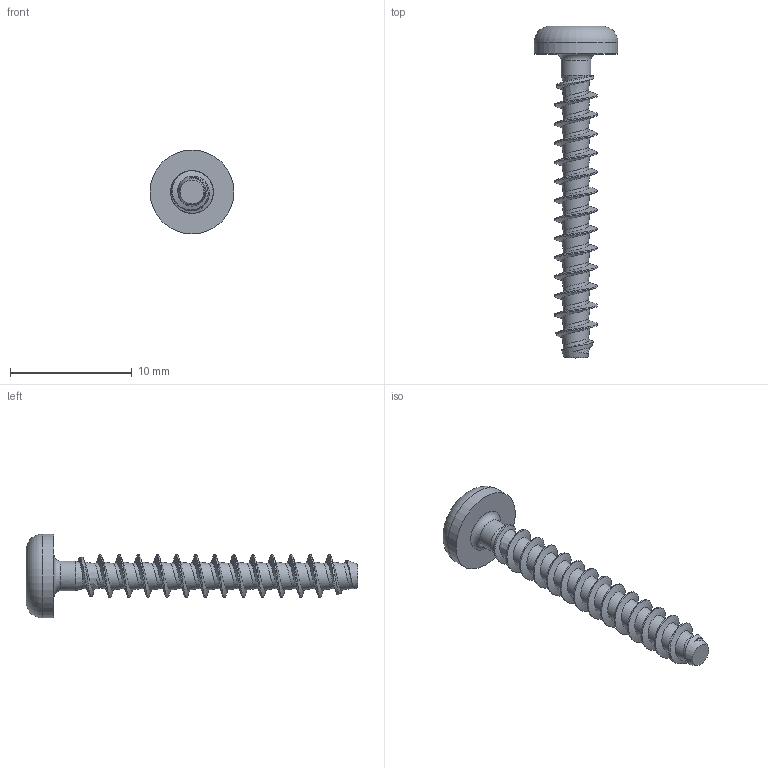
import cadquery as cq
import math


head_radius = 3.45
head_height = 2.3
head_edge_radius = 1.34

screw_length = 25.0
shank_radius = 1.22
shank_length = 1.77
underhead_fillet = 0.53

core_radius = 1.04
core_neck_length = 0.6
tip_radius = 0.97
tip_cone_slope = 0.35

pitch = 1.57
thread_radius = 1.75
crest_width = 0.1
flank_angle = math.radians(15)
crest_at_positive_x = -3.41
thread_foot_radius = 1.16
root_end_radius = 1.01
thread_runout_radius = 1.41
thread_runout_length = 1.5
thread_inner_radius = 0.9
envelope_clearance = 0.1
turn_gap = 0.05


def make_head_and_shank():
    """Revolve the head, the filleted shank and the neck down to the core."""
    arc_offset = head_edge_radius * math.sin(math.pi / 4)
    arc_centre = (head_radius - head_edge_radius, head_height - head_edge_radius)
    fillet_offset = underhead_fillet * math.sin(math.pi / 4)
    fillet_centre = (shank_radius + underhead_fillet, -underhead_fillet)
    return (
        cq.Workplane("XZ")
        .moveTo(0, head_height)
        .lineTo(arc_centre[0], head_height)
        .threePointArc(
            (arc_centre[0] + arc_offset, arc_centre[1] + arc_offset),
            (head_radius, arc_centre[1]),
        )
        .lineTo(head_radius, 0)
        .lineTo(fillet_centre[0], 0)
        .threePointArc(
            (fillet_centre[0] - fillet_offset, fillet_centre[1] + fillet_offset),
            (shank_radius, -underhead_fillet),
        )
        .lineTo(shank_radius, -shank_length)
        .lineTo(core_radius, -shank_length - core_neck_length)
        .lineTo(0, -shank_length - core_neck_length)
        .close()
        .revolve(360, (0, 0, 0), (0, 1, 0))
    )


def make_thread_envelope():
    """Revolved limit of the thread: run-out at the shank, cone at the tip."""
    outer_radius = thread_radius + envelope_clearance
    runout_slope = (thread_radius - thread_runout_radius) / thread_runout_length
    runout_length = (outer_radius - thread_runout_radius) / runout_slope
    tip_cone_length = (outer_radius - tip_radius) / tip_cone_slope
    return (
        cq.Workplane("XZ")
        .moveTo(0, -shank_length)
        .lineTo(thread_runout_radius, -shank_length)
        .lineTo(outer_radius, -shank_length - runout_length)
        .lineTo(outer_radius, -screw_length + tip_cone_length)
        .lineTo(tip_radius, -screw_length)
        .lineTo(0, -screw_length)
        .close()
        .revolve(360, (0, 0, 0), (0, 1, 0))
    )


def make_thread():
    """Sweep the thread tooth with its tapering root surface along a helix."""
    turns_to_tip = math.ceil((crest_at_positive_x + screw_length) / pitch)
    turns_to_shank = math.ceil((-shank_length - crest_at_positive_x) / pitch)
    helix_start = crest_at_positive_x - turns_to_tip * pitch
    helix_height = (turns_to_tip + turns_to_shank) * pitch

    half_crest = crest_width / 2
    head_side = half_crest + (thread_radius - thread_inner_radius) * math.tan(flank_angle)
    tip_side = half_crest + (thread_radius - thread_foot_radius) * math.tan(flank_angle)
    root_end = head_side - pitch + turn_gap

    helix = cq.Wire.makeHelix(pitch, helix_height, thread_radius, cq.Vector(0, 0, helix_start))
    return (
        cq.Workplane("XZ", origin=(0, 0, helix_start))
        .moveTo(thread_inner_radius, head_side)
        .lineTo(thread_radius, half_crest)
        .lineTo(thread_radius, -half_crest)
        .lineTo(thread_foot_radius, -tip_side)
        .lineTo(root_end_radius, root_end)
        .lineTo(thread_inner_radius, root_end)
        .close()
        .sweep(cq.Workplane(obj=helix), isFrenet=True)
    )


core = cq.Workplane("XY").workplane(offset=-screw_length).circle(core_radius).extrude(screw_length)
threaded_length = make_thread().union(core).intersect(make_thread_envelope())
screw = make_head_and_shank().union(threaded_length)

result = screw.rotate((0, 0, 0), (1, 0, 0), -90)